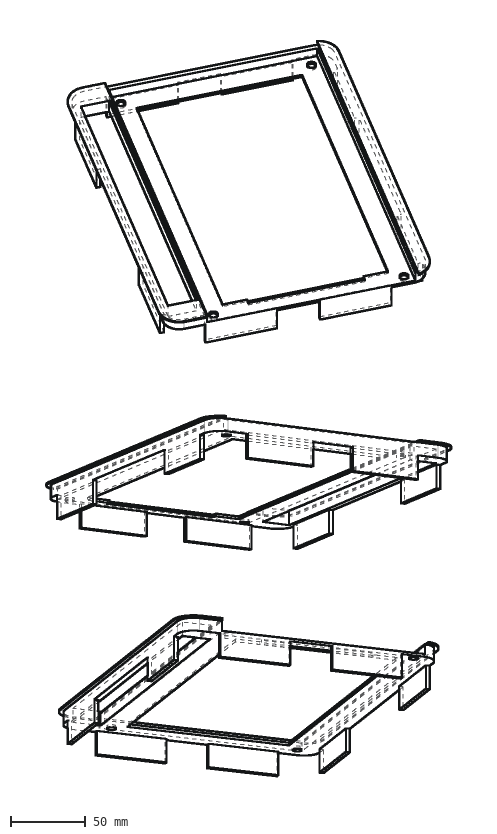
import cadquery as cq

length = 241.0
width = 189.0
height = 26.3

lip_thickness = 1.0
body_bottom = -10.0
floor_thickness = 2.0
floor_top = body_bottom + floor_thickness

overhang = 3.0
body_length = length - 2 * overhang
body_width = width - 2 * overhang
body_radius = 11.5
lip_radius = body_radius + overhang

rear_lip_y = 83.1
front_lip_y = -64.5

recess_left = -114.0
recess_rear = 81.5
recess_front = -63.9

window_left = -99.0
window_right = 103.6
window_front = -49.0
window_rear = 66.5

step_width = 3.5
step_depth = 1.7
step_front = -31.8
step_rear = 49.5

slot_half_length = 102.7
slot_front = -86.8
slot_rear = -67.0
lip_slot_rear = -66.0

hole_diameter = 6.0
hole_xs = (-106.8, 111.3)
hole_ys = (-57.5, 75.5)

tab_thickness = 3.0
tab_length = 50.0
long_side_tab_centre = 75.0
short_side_tab_centre = 40.0


def block(x_min, x_max, y_min, y_max, z_min, z_max):
    """Axis-aligned box given by its limits."""
    size = (x_max - x_min, y_max - y_min, z_max - z_min)
    return cq.Workplane("XY").box(*size, centered=False).translate((x_min, y_min, z_min))


def rounded_plate(plate_length, plate_width, radius, z_min, z_max):
    """Centred plate with rounded vertical corners."""
    plate = block(-plate_length / 2, plate_length / 2, -plate_width / 2, plate_width / 2, z_min, z_max)
    return plate.edges("|Z").fillet(radius)


def make_lip():
    lip = rounded_plate(length, width, lip_radius, -lip_thickness, 0)
    lip = lip.cut(block(-length / 2, length / 2, front_lip_y, rear_lip_y, -lip_thickness, 0))
    return lip.cut(block(-slot_half_length, slot_half_length, slot_front, lip_slot_rear, -lip_thickness, 0))


def make_body():
    body = rounded_plate(body_length, body_width, body_radius, body_bottom, -lip_thickness)
    recess = block(recess_left, body_length / 2, recess_front, recess_rear, floor_top, -lip_thickness)
    window = block(window_left, window_right, window_front, window_rear, body_bottom, floor_top)
    step = block(
        window_right, window_right + step_width, step_front, step_rear, floor_top - step_depth, floor_top
    )
    slot = block(-slot_half_length, slot_half_length, slot_front, slot_rear, body_bottom, -lip_thickness)
    holes = (
        cq.Workplane("XY", origin=(0, 0, body_bottom))
        .pushPoints([(x, y) for x in hole_xs for y in hole_ys])
        .circle(hole_diameter / 2)
        .extrude(floor_thickness)
    )
    for cutter in (recess, window, step, slot, holes):
        body = body.cut(cutter)
    return body


def make_tabs():
    """Tabs flush with the body sides, reaching from the lowest level up to the body underside."""
    tab_height = body_bottom + height
    tab_z = -height + tab_height / 2
    along_x = cq.Workplane("XY").box(tab_length, tab_thickness, tab_height)
    along_y = cq.Workplane("XY").box(tab_thickness, tab_length, tab_height)
    side_x = (body_length - tab_thickness) / 2
    side_y = (body_width - tab_thickness) / 2
    tabs = []
    for x_sign in (-1, 1):
        for y_sign in (-1, 1):
            tabs.append(along_x.translate((x_sign * long_side_tab_centre, y_sign * side_y, tab_z)))
            tabs.append(along_y.translate((x_sign * side_x, y_sign * short_side_tab_centre, tab_z)))
    return tabs


result = make_body().union(make_lip())
for tab in make_tabs():
    result = result.union(tab)